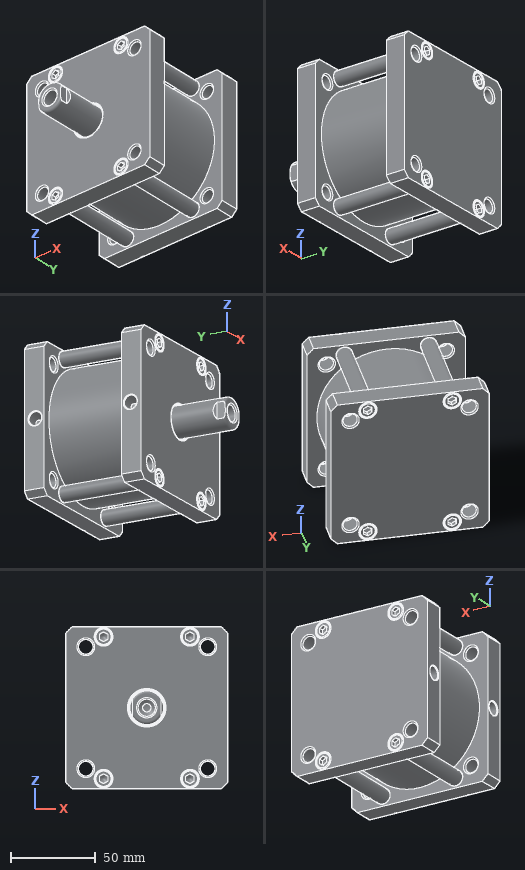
import cadquery as cq
import math


overall_length = 114

plate_size = 96.0
plate_thickness = 13.3
plate_corner_chamfer = 4.0

tube_length = 52.3
tube_outer_diameter = 84.0
tube_inner_diameter = 80.0

shaft_diameter = 20.0
shaft_reach = overall_length - 2 * plate_thickness - tube_length
shaft_end_fillet = 1.7
flat_width = 17.0
flat_length = 5.6
flat_runout = 1.8
shaft_bore_diameter = 10.1
shaft_bore_mouth = 12.0
shaft_bore_depth = 20.5
bore_tip_diameter = 4.9
bore_tip_depth = 0.2

passage_mouth = 22.8
passage_recess_diameter = 21.9
passage_recess_depth = 1.0
passage_diameter = 20.6

mount_pitch = 72.0
mount_diameter = 8.5
mount_mouth = 10.5

rod_pitch_x = 51.1
rod_pitch_z = 83.9
rod_diameter = 10.0
rod_chamfer = 0.5
stem_diameter = 7.0
head_diameter = 10.0
head_height = 6.0
head_chamfer = 0.51
counterbore_diameter = 10.5
counterbore_mouth = 11.1
socket_width = 5.0
socket_depth = 3.0
socket_turn = 30

port_diameter = 8.5
port_mouth = 9.5
port_depth = 16
port_to_inner_face = 6.0
port_bar_diameter = 5.0
port_bar_depth = 11.3

drill_point_angle = 118
drill_tip_slope = 1 / math.tan(math.radians(drill_point_angle / 2))
cut_margin = 1.1

front_inner = plate_thickness
rear_inner = front_inner + tube_length
rear_outer = rear_inner + plate_thickness
rod_places = [(x * rod_pitch_x / 2, z * rod_pitch_z / 2) for x in (-1, 1) for z in (-1, 1)]
mount_places = [(x * mount_pitch / 2, z * mount_pitch / 2) for x in (-1, 1) for z in (-1, 1)]


def turned(profile, x=0, z=0):
    """Solid of revolution about a Y-parallel axis, from (radius, y) points."""
    solid = cq.Workplane("XY").polyline(profile).close().revolve(360, (0, 0, 0), (0, 1, 0))
    return solid.translate((x, 0, z))


def mount_hole(x, z):
    """Through hole countersunk at 45 degrees on both faces of a plate."""
    radius = mount_diameter / 2
    mouth = mount_mouth / 2
    sink = mouth - radius
    return turned(
        [
            (0, 0),
            (mouth, 0),
            (radius, sink),
            (radius, plate_thickness - sink),
            (mouth, plate_thickness),
            (0, plate_thickness),
        ],
        x,
        z,
    )


def head_hole(x, z):
    """Counterbored hole for the head and stem of a tie rod."""
    mouth = counterbore_mouth / 2
    counterbore = counterbore_diameter / 2
    stem = stem_diameter / 2
    return turned(
        [
            (0, 0),
            (mouth, 0),
            (counterbore, mouth - counterbore),
            (counterbore, head_height),
            (stem, head_height),
            (stem, plate_thickness),
            (0, plate_thickness),
        ],
        x,
        z,
    )


def port():
    """Blind port with a drill tip, minus the bar that crosses it."""
    radius = port_diameter / 2
    mouth = port_mouth / 2
    tip = port_depth + radius * drill_tip_slope
    y = plate_thickness - port_to_inner_face
    bore = (
        cq.Workplane("XY")
        .polyline([(0, 0), (0, mouth), (mouth - radius, radius), (port_depth, radius), (tip, 0)])
        .close()
        .revolve(360, (0, 0, 0), (1, 0, 0))
    )
    bar = (
        cq.Workplane("XZ")
        .center(port_bar_depth, 0)
        .circle(port_bar_diameter / 2)
        .extrude(port_diameter, both=True)
    )
    return bore.cut(bar).translate((-plate_size / 2, y, 0))


def end_plate():
    """Plate from its outer face at Y = 0 to its inner face, without a shaft passage."""
    plate = (
        cq.Workplane("XY")
        .box(plate_size, plate_thickness, plate_size, centered=(True, False, True))
        .edges("|Y")
        .chamfer(plate_corner_chamfer)
    )
    for x, z in mount_places:
        plate = plate.cut(mount_hole(x, z))
    for x, z in rod_places:
        plate = plate.cut(head_hole(x, z))
    return plate.cut(port())


def shaft_passage():
    """Shaft clearance hole with a chamfered recess at the outer face."""
    mouth = passage_mouth / 2
    recess = passage_recess_diameter / 2
    radius = passage_diameter / 2
    return turned(
        [
            (0, 0),
            (mouth, 0),
            (recess, mouth - recess),
            (recess, passage_recess_depth),
            (radius, passage_recess_depth),
            (radius, plate_thickness),
            (0, plate_thickness),
        ]
    )


def make_tube():
    """Plain tube clamped between the plates."""
    outer = tube_outer_diameter / 2
    inner = tube_inner_diameter / 2
    return turned([(inner, front_inner), (outer, front_inner), (outer, rear_inner), (inner, rear_inner)])


def shaft_flat():
    """Cutter for the flat on the +X side, with a sloped runout."""
    flat = flat_width / 2
    surface = shaft_diameter / 2
    end = -shaft_reach
    return (
        cq.Workplane("XY")
        .polyline(
            [
                (flat, end - cut_margin),
                (flat, end + flat_length),
                (surface, end + flat_length + flat_runout),
                (surface, end - cut_margin),
            ]
        )
        .close()
        .extrude(shaft_diameter, both=True)
    )


def shaft_bore():
    """Countersunk bore in the shaft end with a drill tip that flattens out at its centre."""
    mouth = shaft_bore_mouth / 2
    bore = shaft_bore_diameter / 2
    tip = bore_tip_diameter / 2
    end = -shaft_reach
    bottom = end + shaft_bore_depth
    tip_start = bottom + (bore - tip) * drill_tip_slope
    return turned(
        [
            (0, end),
            (mouth, end),
            (bore, end + mouth - bore),
            (bore, bottom),
            (tip, tip_start),
            (0, tip_start + bore_tip_depth),
        ]
    )


def make_shaft():
    """Shaft from the inner face of the front plate to its free end."""
    radius = shaft_diameter / 2
    shaft = turned([(0, -shaft_reach), (radius, -shaft_reach), (radius, front_inner), (0, front_inner)])
    shaft = shaft.faces("<Y").edges().fillet(shaft_end_fillet)
    flat = shaft_flat()
    return shaft.cut(flat).cut(flat.mirror("YZ")).cut(shaft_bore())


def head_socket():
    """Hexagonal socket with a conical bottom, opening at Y = 0."""
    corner_radius = socket_width / math.sqrt(3)
    tip = socket_depth + corner_radius * drill_tip_slope
    hexagon = cq.Workplane("XZ").polygon(6, 2 * corner_radius).extrude(-tip)
    hexagon = hexagon.rotate((0, 0, 0), (0, 1, 0), socket_turn)
    envelope = turned([(0, 0), (corner_radius, 0), (corner_radius, socket_depth), (0, tip)])
    return hexagon.intersect(envelope)


def mirrored_to_rear(body):
    """Copy of a front-end shape at the rear end."""
    return body.mirror("XZ").translate((0, rear_outer, 0))


def make_tie_rod(x, z):
    """Rod between the plates with a stem and a flush socket head at each end."""
    head = head_diameter / 2
    stem = stem_diameter / 2
    rod = rod_diameter / 2
    front_half = [
        (head - head_chamfer, 0),
        (head, head_chamfer),
        (head, head_height),
        (stem, head_height),
        (stem, front_inner),
        (rod - rod_chamfer, front_inner),
        (rod, front_inner + rod_chamfer),
    ]
    rear_half = [(radius, rear_outer - y) for radius, y in reversed(front_half)]
    tie_rod = turned([(0, 0)] + front_half + rear_half + [(0, rear_outer)])
    socket = head_socket()
    return tie_rod.cut(socket).cut(mirrored_to_rear(socket)).translate((x, 0, z))


front_plate = end_plate().cut(shaft_passage())
rear_plate = mirrored_to_rear(end_plate())
tube = make_tube()
shaft = make_shaft()
tie_rods = [make_tie_rod(x, z).val() for x, z in rod_places]

result = cq.Compound.makeCompound(
    [front_plate.val(), rear_plate.val(), tube.val(), shaft.val(), *tie_rods]
)